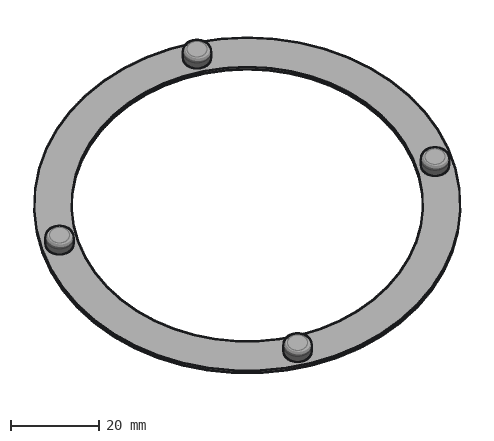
import cadquery as cq
import math

outer_diameter = 96.5
inner_diameter = 79.5
ring_thickness = 1.0

total_height = 4.0
peg_diameter = 6.5
peg_edge_radius = 1.0
peg_count = 4
first_peg_angle = 45.0

peg_height = total_height - ring_thickness
peg_circle_radius = (outer_diameter + inner_diameter) / 4


def make_ring():
    """Flat annular plate resting on Z = 0."""
    return (
        cq.Workplane("XY")
        .circle(outer_diameter / 2)
        .circle(inner_diameter / 2)
        .extrude(ring_thickness)
    )


def make_peg(angle_degrees):
    """Cylindrical peg with a rounded top edge, centred on the ring's width."""
    angle = math.radians(angle_degrees)
    x = peg_circle_radius * math.cos(angle)
    y = peg_circle_radius * math.sin(angle)
    return (
        cq.Workplane("XY", origin=(x, y, ring_thickness))
        .circle(peg_diameter / 2)
        .extrude(peg_height)
        .faces(">Z")
        .edges()
        .fillet(peg_edge_radius)
    )


result = make_ring()
for index in range(peg_count):
    result = result.union(make_peg(first_peg_angle + index * 360 / peg_count))